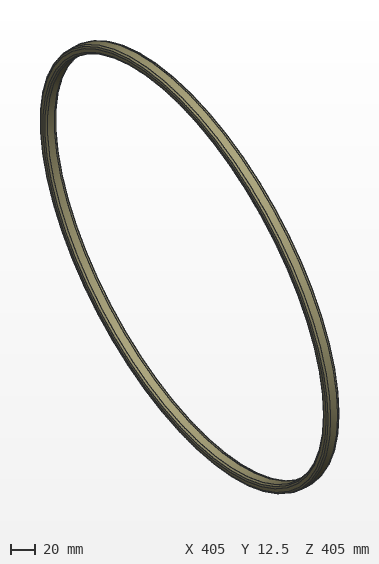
import cadquery as cq

outer_diameter = 405.0
ring_width = 12.5
ring_thickness = 8.0

bevel_width = 3.0
bevel_depth = 2.5
middle_edge_inset = 1.0

outer_radius = outer_diameter / 2
middle_radius = outer_radius - ring_thickness / 2


def bevelled_corner(radial_side, width_side):
    """Three points of one corner, from the rim face to the side face."""
    corner_radius = middle_radius + radial_side * ring_thickness / 2
    corner_y = width_side * ring_width / 2
    insets = [
        (0, bevel_width),
        (middle_edge_inset, middle_edge_inset),
        (bevel_depth, 0),
    ]
    return [
        (corner_radius - radial_side * radial_inset, corner_y - width_side * width_inset)
        for radial_inset, width_inset in insets
    ]


section_points = (
    bevelled_corner(1, 1)
    + bevelled_corner(-1, 1)[::-1]
    + bevelled_corner(-1, -1)
    + bevelled_corner(1, -1)[::-1]
)

result = (
    cq.Workplane("XY")
    .polyline(section_points)
    .close()
    .revolve(360, (0, 0, 0), (0, 1, 0))
)